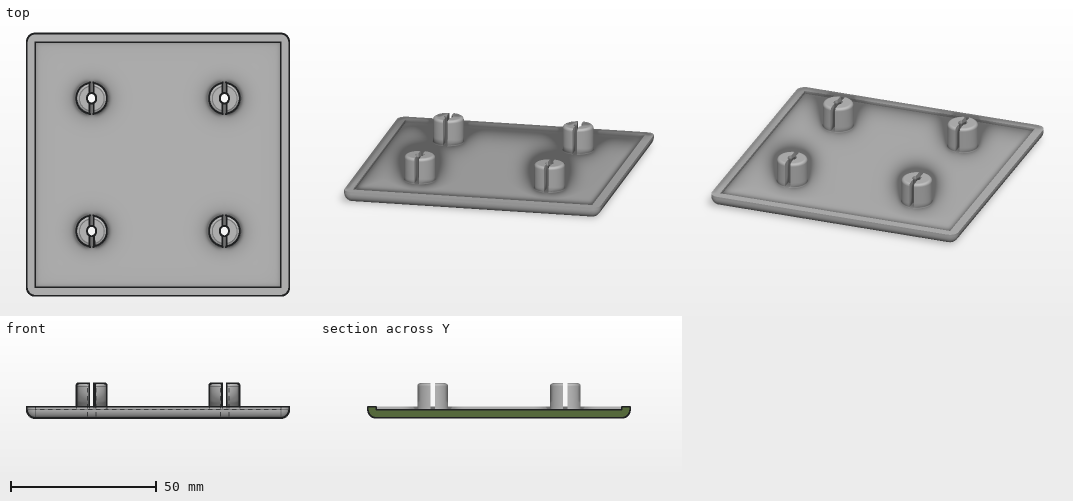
import cadquery as cq

plate_side = 90.0
plate_height = 4.0
edge_radius = 3.0
rim_width = 3.0
recess_depth = 1.0
total_height = 12.0

post_spacing = 45.5
post_diameter = 10.5
post_top_radius = 1.0
post_base_radius = 0.3
slot_width = 1.6
hole_width = 3.0
hole_length = 3.5
wedge_width = 0.4

floor_z = plate_height - recess_depth
post_height = total_height - floor_z


def make_plate():
    """Square tray with rounded corners, a rounded underside and a shallow recess."""
    plate = cq.Workplane("XY").rect(plate_side, plate_side).extrude(plate_height)
    plate = plate.edges("|Z").fillet(edge_radius)
    plate = plate.faces("<Z").edges().fillet(edge_radius)
    recess_side = plate_side - 2 * rim_width
    recess_floor = cq.Workplane("XY").workplane(offset=floor_z)
    recess = recess_floor.rect(recess_side, recess_side).extrude(recess_depth)
    return plate.cut(recess)


def make_posts(points):
    """Round posts with a rounded top, split into halves by a slot along Y."""
    base = cq.Workplane("XY").workplane(offset=floor_z).pushPoints(points)
    posts = base.circle(post_diameter / 2).extrude(post_height)
    posts = posts.faces(">Z").edges().fillet(post_top_radius)
    slots = base.rect(slot_width, post_diameter).extrude(post_height)
    return posts.cut(slots)


def fillet_post_bases(body, points):
    """Round the joint between each half post and the recess floor."""
    reach = post_diameter + 2 * post_base_radius
    for x, y in points:
        joint = cq.selectors.BoxSelector(
            (x - reach / 2, y - reach / 2, floor_z - post_base_radius),
            (x + reach / 2, y + reach / 2, floor_z + post_base_radius),
        )
        body = body.edges(joint).fillet(post_base_radius)
    return body


def make_holes(points):
    """Elongated through holes, longer along the post slots."""
    profile = cq.Workplane("XY").pushPoints(points)
    along_y = 90
    return profile.slot2D(hole_length, hole_width, along_y).extrude(total_height)


def make_slot_wedge(x, y):
    """Wedge that flares one +X slot wall from the hole to its -Y end, above the base fillet."""
    wedge_bottom = floor_z + post_base_radius
    wall_x = x + slot_width / 2
    inner_y = y - hole_length / 2
    outer_y = y - post_diameter / 2
    outline = [(wall_x, inner_y), (wall_x, outer_y), (wall_x + wedge_width, outer_y)]
    base = cq.Workplane("XY").workplane(offset=wedge_bottom)
    return base.polyline(outline).close().extrude(total_height - wedge_bottom)


half_spacing = post_spacing / 2
post_points = [(x, y) for x in (-half_spacing, half_spacing) for y in (-half_spacing, half_spacing)]

body = make_plate().union(make_posts(post_points))
body = fillet_post_bases(body, post_points)
body = body.cut(make_slot_wedge(-half_spacing, -half_spacing))
result = body.cut(make_holes(post_points))